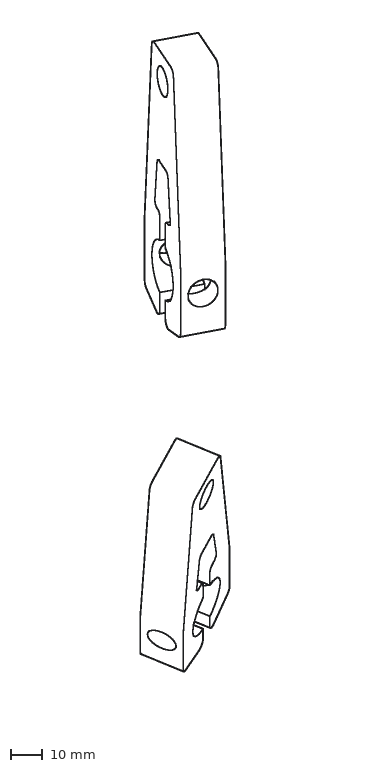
import cadquery as cq
import math

height = 98.8
width = 34.0
thickness = 15.0
top_width = 20.2
shoulder_z = 28.8
corner_radius = 2.5

jaw_angle = math.radians(17)

bore_diameter = 20.0
bore_z = 18.8
slit_width = 5.0
window_floor_z = 38.8
window_top_z = 57.6
window_floor_width = 15.0
window_top_width = 9.9
window_radius = 2.0

hole_diameter = 10.0
pivot_z = 88.8

tip_center_x = slit_width / 2 + corner_radius
tip_edge_z = corner_radius - corner_radius / math.cos(jaw_angle)


def jaw_z(x):
    """Height of the sloping jaw edge at distance x from the centre plane."""
    return tip_edge_z + (x - tip_center_x) * math.tan(jaw_angle)


def extrude_profile(points):
    """Extrude a closed XZ outline through the thickness, centred on Y."""
    return cq.Workplane("XZ").polyline(points).close().extrude(thickness / 2, both=True)


def mirrored(right_side):
    """Complete an outline from its right-hand points, listed bottom to top."""
    return right_side + [(-x, z) for x, z in reversed(right_side)]


def round_edges(body, x, z, radius):
    """Round the two Y-parallel edges at (+x, z) and (-x, z)."""
    for side in (-1, 1):
        edge = cq.selectors.NearestToPointSelector((side * x, 0, z))
        body = body.edges("|Y").edges(edge).fillet(radius)
    return body


def make_body():
    half_slit = slit_width / 2
    half_width = width / 2
    body = extrude_profile(mirrored([
        (half_slit, jaw_z(half_slit)),
        (half_width, jaw_z(half_width)),
        (half_width, shoulder_z),
        (top_width / 2, height),
    ]))
    window = extrude_profile(mirrored([
        (window_floor_width / 2, window_floor_z),
        (window_top_width / 2, window_top_z),
    ]))
    slit_bottom = jaw_z(half_slit)
    slit = extrude_profile(mirrored([
        (half_slit, slit_bottom),
        (half_slit, window_floor_z),
    ]))
    body = body.cut(window).cut(slit)

    body = round_edges(body, half_slit, slit_bottom, corner_radius)
    body = round_edges(body, half_width, jaw_z(half_width), corner_radius)
    body = round_edges(body, top_width / 2, height, corner_radius)
    body = round_edges(body, half_slit, window_floor_z, window_radius)
    body = round_edges(body, window_floor_width / 2, window_floor_z, window_radius)
    return round_edges(body, window_top_width / 2, window_top_z, window_radius)


def through_hole(plane, z, diameter, length):
    """Cylinder centred on the part at height z, along the normal of the plane."""
    return (
        cq.Workplane(plane, origin=(0, 0, z))
        .circle(diameter / 2)
        .extrude(length / 2, both=True)
    )


clamp_bore = through_hole("XZ", bore_z, bore_diameter, thickness)
pivot_hole = through_hole("XZ", pivot_z, hole_diameter, thickness)
screw_hole = through_hole("YZ", bore_z, hole_diameter, width)

result = make_body().cut(clamp_bore).cut(pivot_hole).cut(screw_hole)